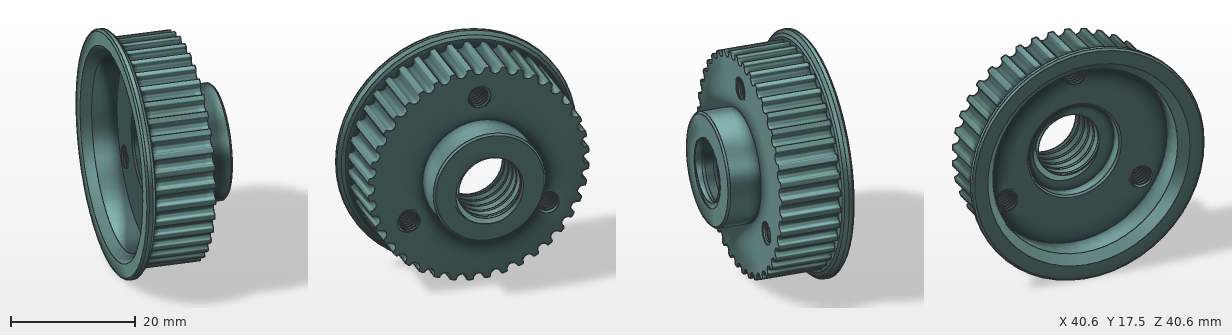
import cadquery as cq
import math


FLANGE_THICKNESS = 1.778
TOOTH_LENGTH = 10.16
HUB_LENGTH = 5.588
TOOTH_END = FLANGE_THICKNESS + TOOTH_LENGTH
TOTAL_LENGTH = TOOTH_END + HUB_LENGTH

FLANGE_RADIUS = 40.64 / 2
FLANGE_FRONT_CHAMFER = 0.33
FLANGE_BACK_CHAMFER = 0.55
FLANGE_BACK_BEVEL_DEPTH = 0.25
FLANGE_BACK_BEVEL_WIDTH = 0.6

TOOTH_COUNT = 40
BELT_PITCH = 3.0
PITCH_LINE_OFFSET = 0.381
TOOTH_TIP_RADIUS = TOOTH_COUNT * BELT_PITCH / (2 * math.pi) - PITCH_LINE_OFFSET
GROOVE_DEPTH = 1.08
GROOVE_RADIUS = 0.93
TOOTH_TIP_FILLET = 0.22

HUB_RADIUS = 9.525
HUB_CHAMFER = 0.33

RECESS_RADIUS = 16.2
RECESS_CHAMFER = 1.5
RECESS_DEPTH = 5.75

COUNTERBORE_RADIUS = 7.9
COUNTERBORE_DEPTH = 2.3
COUNTERBORE_CHAMFER = 0.33
COUNTERBORE_FLOOR = RECESS_DEPTH + COUNTERBORE_DEPTH

INCH = 25.4
THREAD_HALF_ANGLE = math.radians(30)
ROOT_FLAT_PER_PITCH = 1 / 8
CREST_OVERLAP = 0.02

BORE_CREST_RADIUS = 10.67 / 2
BORE_ROOT_RADIUS = 12.7 / 2
BORE_PITCH = INCH / 13
BORE_THREAD_PHASE = 222

SCREW_COUNT = 3
SCREW_CIRCLE_RADIUS = 13.5
SCREW_CREST_RADIUS = 3.44 / 2
SCREW_ROOT_RADIUS = 4.166 / 2
SCREW_PITCH = INCH / 32
SCREW_THREAD_PHASE = 55


def revolve_about_y(profile):
    """Solid of revolution about Y from (radius, y) points."""
    return cq.Workplane("XY").polyline(profile).close().revolve(360, (0, 0), (0, 1))


def cylinder_along_y(radius, start, end):
    return cq.Workplane("XZ", origin=(0, start, 0)).circle(radius).extrude(start - end)


def make_flange():
    bevel_start = FLANGE_THICKNESS - FLANGE_BACK_BEVEL_DEPTH
    chamfer_inner = FLANGE_RADIUS - FLANGE_BACK_CHAMFER
    return revolve_about_y([
        (0, 0),
        (FLANGE_RADIUS - FLANGE_FRONT_CHAMFER, 0),
        (FLANGE_RADIUS, FLANGE_FRONT_CHAMFER),
        (FLANGE_RADIUS, bevel_start - FLANGE_BACK_CHAMFER),
        (chamfer_inner, bevel_start),
        (chamfer_inner - FLANGE_BACK_BEVEL_WIDTH, FLANGE_THICKNESS),
        (0, FLANGE_THICKNESS),
    ])


def make_groove():
    """U-shaped cutter for the belt groove at the +Z side of the rim."""
    centre_z = TOOTH_TIP_RADIUS - GROOVE_DEPTH + GROOVE_RADIUS
    open_end_z = TOOTH_TIP_RADIUS + GROOVE_DEPTH
    return (
        cq.Workplane("XZ", origin=(0, FLANGE_THICKNESS, 0))
        .moveTo(-GROOVE_RADIUS, open_end_z)
        .lineTo(-GROOVE_RADIUS, centre_z)
        .threePointArc((0, centre_z - GROOVE_RADIUS), (GROOVE_RADIUS, centre_z))
        .lineTo(GROOVE_RADIUS, open_end_z)
        .close()
        .extrude(-TOOTH_LENGTH)
    )


def is_tooth_tip_edge(edge):
    middle = edge.Center()
    return math.hypot(middle.x, middle.z) > TOOTH_TIP_RADIUS - TOOTH_TIP_FILLET


def make_toothed_rim():
    """Cylinder with round-bottomed belt grooves and rounded tooth tips."""
    rim = cylinder_along_y(TOOTH_TIP_RADIUS, FLANGE_THICKNESS, TOOTH_END)
    groove = make_groove()
    for index in range(TOOTH_COUNT):
        rim = rim.cut(groove.rotate((0, 0, 0), (0, 1, 0), index * 360 / TOOTH_COUNT))
    tip_edges = rim.edges("|Y").filter(is_tooth_tip_edge)
    return tip_edges.fillet(TOOTH_TIP_FILLET)


def make_hub():
    hub = cylinder_along_y(HUB_RADIUS, FLANGE_THICKNESS, TOTAL_LENGTH)
    return hub.faces(">Y").chamfer(HUB_CHAMFER)


def make_recess():
    """Chamfered recess with the chamfered counterbore in its floor."""
    return revolve_about_y([
        (0, 0),
        (RECESS_RADIUS + RECESS_CHAMFER, 0),
        (RECESS_RADIUS, RECESS_CHAMFER),
        (RECESS_RADIUS, RECESS_DEPTH),
        (COUNTERBORE_RADIUS + COUNTERBORE_CHAMFER, RECESS_DEPTH),
        (COUNTERBORE_RADIUS, RECESS_DEPTH + COUNTERBORE_CHAMFER),
        (COUNTERBORE_RADIUS, COUNTERBORE_FLOOR),
        (0, COUNTERBORE_FLOOR),
    ])


def make_thread_groove(crest_radius, root_radius, pitch, phase, start, end):
    """Right-hand helical groove around Y; phase is its angle from +X towards +Z at the start."""
    turns = math.ceil((end - start) / pitch) + 2
    inner_radius = crest_radius - CREST_OVERLAP
    root_half_width = pitch * ROOT_FLAT_PER_PITCH / 2
    inner_half_width = root_half_width + (root_radius - inner_radius) * math.tan(THREAD_HALF_ANGLE)
    helix = cq.Wire.makeHelix(pitch, turns * pitch, crest_radius)
    groove = (
        cq.Workplane("XZ")
        .polyline([
            (inner_radius, -inner_half_width),
            (root_radius, -root_half_width),
            (root_radius, root_half_width),
            (inner_radius, inner_half_width),
        ])
        .close()
        .sweep(cq.Workplane(helix), isFrenet=True)
    )
    groove = groove.rotate((0, 0, 0), (0, 0, 1), phase).rotate((0, 0, 0), (1, 0, 0), 90)
    groove = groove.translate((0, start + (turns - 1) * pitch, 0))
    envelope = cylinder_along_y(2 * root_radius, start, end)
    return groove.intersect(envelope)


def cut_bore(body):
    groove = make_thread_groove(
        BORE_CREST_RADIUS, BORE_ROOT_RADIUS, BORE_PITCH, BORE_THREAD_PHASE, COUNTERBORE_FLOOR, TOTAL_LENGTH
    )
    hole = cylinder_along_y(BORE_CREST_RADIUS, COUNTERBORE_FLOOR, TOTAL_LENGTH)
    return body.cut(groove).cut(hole)


def cut_screw_holes(body):
    to_screw_circle = (0, 0, SCREW_CIRCLE_RADIUS)
    hole = cylinder_along_y(SCREW_CREST_RADIUS, RECESS_DEPTH, TOOTH_END).translate(to_screw_circle)
    groove = make_thread_groove(
        SCREW_CREST_RADIUS, SCREW_ROOT_RADIUS, SCREW_PITCH, SCREW_THREAD_PHASE, RECESS_DEPTH, TOOTH_END
    ).translate(to_screw_circle)
    for index in range(SCREW_COUNT):
        angle = index * 360 / SCREW_COUNT
        for cutter in (groove, hole):
            body = body.cut(cutter.rotate((0, 0, 0), (0, 1, 0), angle))
    return body


result = make_flange().union(make_toothed_rim()).union(make_hub())
result = result.cut(make_recess())
result = cut_bore(result)
result = cut_screw_holes(result)